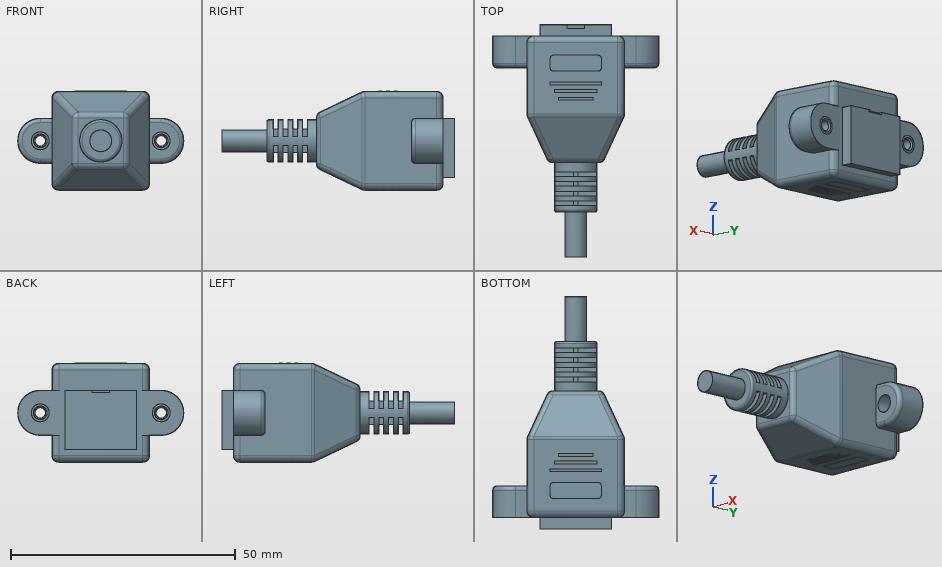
import cadquery as cq


HOUSING_WIDTH = 21.7
HOUSING_HEIGHT = 22.0
BLOCK_LENGTH = 17.75
TAPER_LENGTH = 10.45
NOSE_SIZE = 12.0
HOUSING_ROUND = 1.5
NOSE_Y = -(BLOCK_LENGTH + TAPER_LENGTH)

EAR_SPACING = 26.95
EAR_RADIUS = 5.0
EAR_LENGTH = 7.1
EAR_ROUND = 1.0
EAR_OVERLAP = HOUSING_ROUND

INSERT_DIAMETER = 4.0
INSERT_LENGTH = 3.0
BORE_DIAMETER = 2.35
BORE_MOUTH_DIAMETER = 3.0
BORE_CHAMFER = (BORE_MOUTH_DIAMETER - BORE_DIAMETER) / 2

RELIEF_DIAMETER = 9.45
RELIEF_LENGTH = 11.05
RELIEF_ROUND = 0.5
SLOT_COUNT = 4
SLOT_WIDTH = 1.05
SLOT_PITCH = 2.2
FIRST_SLOT_OFFSET = 2.0
SIDE_WEB_HEIGHT = 2.0
CORE_WEB_WIDTH = 1.1
CORE_WEB_HEIGHT = 5.3
CABLE_DIAMETER = 4.85
CABLE_LENGTH = 10.0
RELIEF_END_Y = NOSE_Y - RELIEF_LENGTH

LABEL_WIDTH = 11.4
LABEL_LENGTH = 3.5
LABEL_CORNER = 0.65
LABEL_DEPTH = 0.1
LABEL_CENTRE_Y = -6.05
RIB_WIDTHS = [LABEL_WIDTH, 9.55, 7.6]
RIB_LENGTH = 0.6
RIB_HEIGHT = 0.1
RIB_PITCH = 1.7
FIRST_RIB_Y = -10.55

JACK_WIDTH = 16.0
JACK_HEIGHT = 13.2
JACK_TOP = EAR_RADIUS
JACK_PROUD = 2.55
JACK_SUNK = 10.0
JACK_ROUND = 0.1
NOTCH_WIDTH = 4.0
NOTCH_LENGTH = 0.9
NOTCH_DEPTH = 0.5


def box(width, length, height, centre):
    """A box of the given X, Y and Z sizes around a centre point."""
    return cq.Workplane("XY").box(width, length, height).translate(centre)


def rod(diameter, start_y, length):
    """A cylinder along Y on the cable axis, running from start_y towards -Y."""
    return cq.Workplane("XZ", origin=(0, start_y, 0)).circle(diameter / 2).extrude(length)


def make_shell():
    """Block and taper with every edge rounded."""
    block = cq.Workplane("XZ").rect(HOUSING_WIDTH, HOUSING_HEIGHT).extrude(BLOCK_LENGTH)
    taper = (
        cq.Workplane("XZ", origin=(0, -BLOCK_LENGTH, 0))
        .rect(HOUSING_WIDTH, HOUSING_HEIGHT)
        .workplane(offset=TAPER_LENGTH)
        .rect(NOSE_SIZE, NOSE_SIZE)
        .loft(ruled=True)
    )
    return block.union(taper).edges().fillet(HOUSING_ROUND)


def make_ear(side):
    """Round-ended ear on one side (-1 or 1), with its front edge rounded."""
    ear_x = side * EAR_SPACING / 2
    root_x = side * (HOUSING_WIDTH / 2 - EAR_OVERLAP)
    return (
        cq.Workplane("XZ")
        .moveTo(root_x, EAR_RADIUS)
        .lineTo(ear_x, EAR_RADIUS)
        .threePointArc((ear_x + side * EAR_RADIUS, 0), (ear_x, -EAR_RADIUS))
        .lineTo(root_x, -EAR_RADIUS)
        .close()
        .extrude(EAR_LENGTH)
        .faces("<Y")
        .edges("not |Z")
        .fillet(EAR_ROUND)
    )


def make_strain_relief():
    """Slotted sleeve; each slot leaves a full-width side web and a short upright core web."""
    relief = rod(RELIEF_DIAMETER, NOSE_Y, RELIEF_LENGTH).faces("<Y").edges().fillet(RELIEF_ROUND)
    for index in range(SLOT_COUNT):
        slot_y = NOSE_Y - FIRST_SLOT_OFFSET - index * SLOT_PITCH - SLOT_WIDTH / 2
        centre = (0, slot_y, 0)
        side_web = box(RELIEF_DIAMETER, SLOT_WIDTH, SIDE_WEB_HEIGHT, centre)
        core_web = box(CORE_WEB_WIDTH, SLOT_WIDTH, CORE_WEB_HEIGHT, centre)
        slot = box(RELIEF_DIAMETER, SLOT_WIDTH, RELIEF_DIAMETER, centre)
        relief = relief.cut(slot.cut(side_web).cut(core_web))
    return relief


def mark_face(housing, side):
    """Cut the label recess and add the grip ribs on the top (1) or bottom (-1) face."""
    face_z = side * HOUSING_HEIGHT / 2
    label = box(LABEL_WIDTH, LABEL_LENGTH, 2 * LABEL_DEPTH, (0, LABEL_CENTRE_Y, face_z))
    housing = housing.cut(label.edges("|Z").fillet(LABEL_CORNER))
    for index, rib_width in enumerate(RIB_WIDTHS):
        rib_y = FIRST_RIB_Y - index * RIB_PITCH
        housing = housing.union(box(rib_width, RIB_LENGTH, 2 * RIB_HEIGHT, (0, rib_y, face_z)))
    return housing


def make_jack():
    """Rectangular jack sunk into the rear of the housing, with a notch in its top rear edge."""
    length = JACK_PROUD + JACK_SUNK
    centre = (0, JACK_PROUD - length / 2, JACK_TOP - JACK_HEIGHT / 2)
    body = box(JACK_WIDTH, length, JACK_HEIGHT, centre)
    body = body.faces(">Z").edges("|Y").fillet(JACK_ROUND)
    notch_centre = (0, JACK_PROUD - NOTCH_LENGTH / 2, JACK_TOP - NOTCH_DEPTH / 2)
    return body.cut(box(NOTCH_WIDTH, NOTCH_LENGTH, NOTCH_DEPTH, notch_centre))


def make_insert(side):
    """Threaded insert in the ear on one side, its bore chamfered at both ends."""
    return (
        cq.Workplane("XZ", origin=(side * EAR_SPACING / 2, 0, 0))
        .circle(INSERT_DIAMETER / 2)
        .circle(BORE_DIAMETER / 2)
        .extrude(INSERT_LENGTH)
        .edges(cq.selectors.RadiusNthSelector(0))
        .chamfer(BORE_CHAMFER)
    )


def make_housing(jack):
    """Moulded body: shell, ears, strain relief and cable, hollowed for the jack and inserts."""
    housing = make_shell()
    for side in (-1, 1):
        ear_hole = rod(INSERT_DIAMETER, 0, EAR_LENGTH).translate((side * EAR_SPACING / 2, 0, 0))
        housing = housing.union(make_ear(side)).cut(ear_hole)
        housing = mark_face(housing, side)
    housing = housing.union(make_strain_relief())
    housing = housing.union(rod(CABLE_DIAMETER, RELIEF_END_Y, CABLE_LENGTH))
    return housing.cut(jack)


jack = make_jack()
housing = make_housing(jack)
inserts = [make_insert(side) for side in (-1, 1)]

result = cq.Compound.makeCompound([housing.val(), jack.val(), *[insert.val() for insert in inserts]])